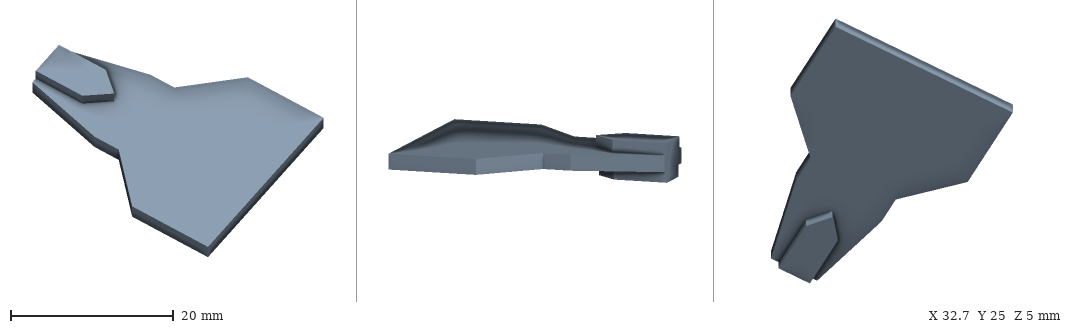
import cadquery as cq

length = 32.67
width = 25.0
plate_thickness = 2.0

nose_width = 6.47
taper_end = 11.17
taper_end_width = 12.0
neck_start = 11.27
neck_end = 14.83
neck_width = 12.02
body_start = 21.33

key_height = 1.5
top_key_width = 5.03
top_key_shoulder = 7.0
top_key_tip = 10.0
bottom_key_width = 4.45
bottom_key_shoulder = 6.9
bottom_key_tip = 9.57


def make_plate():
    """Flared plate, symmetric about the X axis and centred on Z = 0."""
    upper_edge = [
        (0, nose_width / 2),
        (taper_end, taper_end_width / 2),
        (neck_start, neck_width / 2),
        (neck_end, neck_width / 2),
        (body_start, width / 2),
        (length, width / 2),
    ]
    lower_edge = [(x, -y) for x, y in reversed(upper_edge)]
    outline = cq.Workplane("XY").polyline(upper_edge + lower_edge).close()
    return outline.extrude(plate_thickness / 2, both=True)


def make_key(key_width, shoulder, tip, base_z):
    """Key with a pointed end, rising from base_z."""
    outline = [
        (0, -key_width / 2),
        (shoulder, -key_width / 2),
        (tip, 0),
        (shoulder, key_width / 2),
        (0, key_width / 2),
    ]
    return cq.Workplane("XY").workplane(offset=base_z).polyline(outline).close().extrude(key_height)


top_key = make_key(top_key_width, top_key_shoulder, top_key_tip, plate_thickness / 2)
bottom_key = make_key(
    bottom_key_width, bottom_key_shoulder, bottom_key_tip, -plate_thickness / 2 - key_height
)

result = make_plate().union(top_key).union(bottom_key)